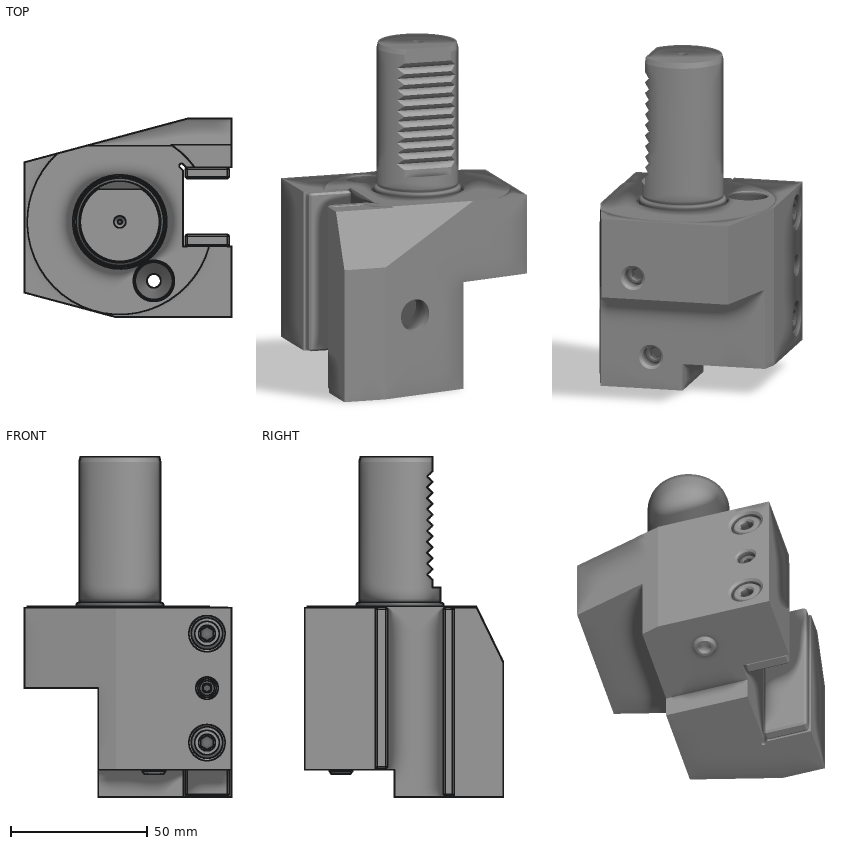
import cadquery as cq
import math

LEFT_X = -35.0
RIGHT_X = 41.0
FRONT_Y = -35.0
BACK_Y = 38.0
BACK_CORNER_X = 25.0
FRONT_CORNER_X = -1.4
TAPER_ANGLE = math.radians(15)
BOTTOM_Z = -70.0
FRONT_BOTTOM_Z = -60.0
FRONT_STEP_Y = -2.0
LEFT_STEP_X = -8.0
LEFT_STEP_Z = -30.0
BACK_BEVEL_Y = 28.0
BACK_BEVEL_Z = -20.5

SEAT_RADIUS = 34.0
SEAT_HEIGHT = 0.5

SLOT_X = 23.2
SLOT_FRONT_Y = -9.0
SLOT_BACK_Y = 20.0
RELIEF_WIDTH = 1.6
RELIEF_REACH = 1.6
RELIEF_ANGLE = 135.0

PLATE_X = 24.0
PLATE_LENGTH = 16.2
PLATE_END_GAP = 0.4
PLATE_CHAMFER = 0.7
BACK_PLATE_THICKNESS = 4.1
FRONT_PLATE_THICKNESS = 4.5

SHANK_RADIUS = 15.0
SHANK_HEIGHT = 55.0
TIP_CHAMFER_HEIGHT = 2.0
TIP_CHAMFER_WIDTH = 0.5
NECK_TOP_Z = 2.5
NECK_INSET = 0.3
FLAT_Y = 12.0
FLAT_BOTTOM_Z = 7.0
TOOTH_COUNT = 10
TOOTH_PITCH = 4.0
TOOTH_DEPTH = 2.0
FIRST_TOOTH_Z = 11.7
CENTRE_DIAMETER = 4.4
CENTRE_PILOT_DIAMETER = 1.6
CENTRE_PILOT_DEPTH = 3.0
CENTRE_ANGLE = 60.0

RING_RADIUS = 16.1
RING_HEIGHT = 1.5
RING_FILLET = 1.25
GROOVE_RADIUS = 16.7
GROOVE_DEPTH = 1.5
GROOVE_CHAMFER = 0.6

COOLANT_PITCH_RADIUS = 25.0
COOLANT_ANGLE = math.radians(-60)
COOLANT_X = COOLANT_PITCH_RADIUS * math.cos(COOLANT_ANGLE)
COOLANT_Y = COOLANT_PITCH_RADIUS * math.sin(COOLANT_ANGLE)
COOLANT_BORE = 5.0
INLET_DIAMETER = 14.2
INLET_DEPTH = 8.0
LOWER_INLET_DIAMETER = 13.7
LOWER_INLET_DEPTH = 12.0
INLET_CHAMFER = 0.45
INLET_TIP_ANGLE = 118.0
NOZZLE_RADIUS = 4.3
NOZZLE_TIP_RADIUS = 3.5
NOZZLE_RIM = 0.5
NOZZLE_HEIGHT = 1.6
PORT_DIAMETER = 12.0
PORT_Z = -40.0
PORT_DEPTH = 20.0

FRONT_SCREW_X = 32.0
CLAMP_SCREW_HEIGHTS = (-10.0, -50.0)
CLAMP_MOUTH_DIAMETER = 13.3
CLAMP_BORE_DIAMETER = 11.6
CLAMP_DEPTH = 2.2
CLAMP_HEAD_DIAMETER = 9.0
CLAMP_SOCKET_FLATS = 4.6
CLAMP_SOCKET_DEPTH = 4.0
MIDDLE_SCREW_Z = -30.0
MIDDLE_MOUTH_DIAMETER = 8.2
MIDDLE_BORE_DIAMETER = 6.8
MIDDLE_DEPTH = 2.8
MIDDLE_HEAD_DIAMETER = 5.4
MIDDLE_SOCKET_FLATS = 2.7
MIDDLE_SOCKET_DEPTH = 3.0

SIDE_SCREW_Y = 10.0
SIDE_SCREW_PLACES = ((LEFT_X, -22.0), (LEFT_STEP_X, -58.0))
SIDE_MOUTH_DIAMETER = 9.2
SIDE_BORE_DIAMETER = 7.2
SIDE_DEPTH = 6.0
SIDE_HEAD_DIAMETER = 6.6
SIDE_SOCKET_FLATS = 3.6
SIDE_SOCKET_DEPTH = 3.0

SOCKET_MOUTH_RATIO = 1.15

RIGHT = cq.Vector(1, 0, 0)
BACK = cq.Vector(0, 1, 0)
UP = cq.Vector(0, 0, 1)
DOWN = cq.Vector(0, 0, -1)


def box(x_min, x_max, y_min, y_max, z_min, z_max):
    """Box between the given limits."""
    size = (x_max - x_min, y_max - y_min, z_max - z_min)
    return cq.Workplane("XY").box(*size, centered=False).translate((x_min, y_min, z_min))


def rod(start, direction, diameter, length):
    """Cylinder that grows from a point along a direction."""
    return cq.Workplane(cq.Solid.makeCylinder(diameter / 2, length, start, direction))


def cone(start, direction, start_diameter, end_diameter, length):
    """Cone frustum that grows from a point along a direction."""
    return cq.Workplane(cq.Solid.makeCone(start_diameter / 2, end_diameter / 2, length, start, direction))


def hex_socket(start, direction, flats, depth):
    """Hexagonal prism with two flats upright and a 45 degree countersink at its mouth."""
    plane = cq.Plane(origin=start, xDir=UP, normal=direction)
    corner_diameter = flats / math.cos(math.radians(30))
    mouth_diameter = SOCKET_MOUTH_RATIO * corner_diameter
    countersink = cone(start, direction, mouth_diameter, flats, (mouth_diameter - flats) / 2)
    return cq.Workplane(plane).polygon(6, corner_diameter).extrude(depth).union(countersink)


def make_block():
    """Tapered block with its steps, back bevel and seating disc."""
    back_taper = (BACK_CORNER_X - LEFT_X) * math.tan(TAPER_ANGLE)
    front_taper = (FRONT_CORNER_X - LEFT_X) * math.tan(TAPER_ANGLE)
    outline = [
        (LEFT_X, FRONT_Y + front_taper),
        (FRONT_CORNER_X, FRONT_Y),
        (RIGHT_X, FRONT_Y),
        (RIGHT_X, BACK_Y),
        (BACK_CORNER_X, BACK_Y),
        (LEFT_X, BACK_Y - back_taper),
    ]
    block = cq.Workplane("XY").polyline(outline).close().extrude(BOTTOM_Z)
    block = block.cut(box(LEFT_X, LEFT_STEP_X, FRONT_Y, BACK_Y, BOTTOM_Z, LEFT_STEP_Z))
    block = block.cut(box(LEFT_X, RIGHT_X, FRONT_Y, FRONT_STEP_Y, BOTTOM_Z, FRONT_BOTTOM_Z))
    bevel_outline = [(BACK_BEVEL_Y, 0), (BACK_Y, BACK_BEVEL_Z), (BACK_Y, 0)]
    bevel = cq.Workplane("YZ").polyline(bevel_outline).close().extrude(RIGHT_X - LEFT_X)
    block = block.cut(bevel.translate((LEFT_X, 0, 0)))
    around_seat = box(LEFT_X, RIGHT_X, FRONT_Y, BACK_Y, -SEAT_HEIGHT, 0)
    around_seat = around_seat.cut(rod(cq.Vector(0, 0, 0), DOWN, 2 * SEAT_RADIUS, SEAT_HEIGHT))
    return block.cut(around_seat)


def cut_slot(body):
    """Tool slot through the full height, with a diagonal round-ended relief in its back corner."""
    body = body.cut(box(SLOT_X, RIGHT_X, SLOT_FRONT_Y, SLOT_BACK_Y, BOTTOM_Z, 0))
    corner = cq.Workplane("XY", origin=(SLOT_X, SLOT_BACK_Y, 0))
    return body.cut(corner.slot2D(2 * RELIEF_REACH, RELIEF_WIDTH, RELIEF_ANGLE).extrude(BOTTOM_Z))


def make_plate(y_min, y_max, bottom_z):
    """Clamping plate with all its edges bevelled."""
    plate = box(PLATE_X, PLATE_X + PLATE_LENGTH, y_min, y_max, bottom_z + PLATE_END_GAP, -PLATE_END_GAP)
    return plate.edges().chamfer(PLATE_CHAMFER)


def add_plates(body):
    """One plate on each slot wall, set back slightly from both ends of the wall."""
    back_plate = make_plate(SLOT_BACK_Y - BACK_PLATE_THICKNESS, SLOT_BACK_Y, BOTTOM_Z)
    front_plate = make_plate(SLOT_FRONT_Y, SLOT_FRONT_Y + FRONT_PLATE_THICKNESS, FRONT_BOTTOM_Z)
    return body.union(back_plate).union(front_plate)


def make_shank():
    """Round shank rooted below the ring groove, with a tapered neck, flat, teeth and centre hole."""
    straight_top = SHANK_HEIGHT - TIP_CHAMFER_HEIGHT
    neck_diameter = 2 * (SHANK_RADIUS - NECK_INSET)
    shank = rod(cq.Vector(0, 0, -GROOVE_DEPTH), UP, neck_diameter, RING_HEIGHT + GROOVE_DEPTH)
    neck_height = NECK_TOP_Z - RING_HEIGHT
    shank = shank.union(cone(cq.Vector(0, 0, RING_HEIGHT), UP, neck_diameter, 2 * SHANK_RADIUS, neck_height))
    straight = rod(cq.Vector(0, 0, NECK_TOP_Z), UP, 2 * SHANK_RADIUS, straight_top - NECK_TOP_Z)
    shank = shank.union(straight)
    tip_diameter = 2 * (SHANK_RADIUS - TIP_CHAMFER_WIDTH)
    tip = cone(cq.Vector(0, 0, straight_top), UP, 2 * SHANK_RADIUS, tip_diameter, TIP_CHAMFER_HEIGHT)
    shank = shank.union(tip)
    shank = shank.cut(box(-SHANK_RADIUS, SHANK_RADIUS, FLAT_Y, SHANK_RADIUS, FLAT_BOTTOM_Z, SHANK_HEIGHT))
    half_pitch = TOOTH_PITCH / 2
    notch_outline = [(FLAT_Y, -half_pitch), (FLAT_Y - TOOTH_DEPTH, 0), (FLAT_Y, half_pitch)]
    notch = cq.Workplane("YZ").polyline(notch_outline).close().extrude(SHANK_RADIUS, both=True)
    for index in range(TOOTH_COUNT):
        shank = shank.cut(notch.translate((0, 0, FIRST_TOOTH_Z + index * TOOTH_PITCH)))
    top = cq.Vector(0, 0, SHANK_HEIGHT)
    cone_depth = (CENTRE_DIAMETER - CENTRE_PILOT_DIAMETER) / 2 / math.tan(math.radians(CENTRE_ANGLE / 2))
    centre = cone(top, DOWN, CENTRE_DIAMETER, CENTRE_PILOT_DIAMETER, cone_depth)
    pilot = rod(top, DOWN, CENTRE_PILOT_DIAMETER, cone_depth + CENTRE_PILOT_DEPTH)
    return shank.cut(centre).cut(pilot)


def add_shank_and_ring(body):
    """Groove in the seat, rounded sealing ring inside it, and the shank."""
    seat_centre = cq.Vector(0, 0, 0)
    groove_mouth = 2 * (GROOVE_RADIUS + GROOVE_CHAMFER)
    body = body.cut(rod(seat_centre, DOWN, 2 * GROOVE_RADIUS, GROOVE_DEPTH))
    body = body.cut(cone(seat_centre, DOWN, groove_mouth, 2 * GROOVE_RADIUS, GROOVE_CHAMFER))
    ring = rod(cq.Vector(0, 0, -GROOVE_DEPTH), UP, 2 * RING_RADIUS, GROOVE_DEPTH + RING_HEIGHT)
    ring = ring.faces(">Z").edges().fillet(RING_FILLET)
    return body.union(ring).union(make_shank())


def add_coolant_passage(body):
    """Stepped inlet and vertical bore ending in a nozzle, plus the port in the back taper."""
    inlet_top = cq.Vector(COOLANT_X, COOLANT_Y, 0)
    inlet_bottom = cq.Vector(COOLANT_X, COOLANT_Y, -LOWER_INLET_DEPTH)
    nozzle_top = cq.Vector(COOLANT_X, COOLANT_Y, FRONT_BOTTOM_Z)
    nozzle_rim = cq.Vector(COOLANT_X, COOLANT_Y, FRONT_BOTTOM_Z - NOZZLE_RIM)
    taper_height = NOZZLE_HEIGHT - NOZZLE_RIM
    body = body.union(rod(nozzle_top, DOWN, 2 * NOZZLE_RADIUS, NOZZLE_RIM))
    body = body.union(cone(nozzle_rim, DOWN, 2 * NOZZLE_RADIUS, 2 * NOZZLE_TIP_RADIUS, taper_height))
    inlet_mouth = INLET_DIAMETER + 2 * INLET_CHAMFER
    tip_depth = (LOWER_INLET_DIAMETER - COOLANT_BORE) / 2 / math.tan(math.radians(INLET_TIP_ANGLE / 2))
    body = body.cut(cone(inlet_top, DOWN, inlet_mouth, INLET_DIAMETER, INLET_CHAMFER))
    body = body.cut(rod(inlet_top, DOWN, INLET_DIAMETER, INLET_DEPTH))
    body = body.cut(rod(inlet_top, DOWN, LOWER_INLET_DIAMETER, LOWER_INLET_DEPTH))
    body = body.cut(cone(inlet_bottom, DOWN, LOWER_INLET_DIAMETER, COOLANT_BORE, tip_depth))
    body = body.cut(rod(inlet_top, DOWN, COOLANT_BORE, NOZZLE_HEIGHT - FRONT_BOTTOM_Z))
    port_start = cq.Vector(COOLANT_X, BACK_Y, PORT_Z)
    return body.cut(rod(port_start, -BACK, PORT_DIAMETER, PORT_DEPTH))


def add_screw(body, mouth, inward, mouth_diameter, bore_diameter, depth, head_diameter, flats, socket_depth):
    """Countersunk hole down to a screw whose bevelled head carries a hex socket."""
    sink_depth = (mouth_diameter - bore_diameter) / 2
    body = body.cut(cone(mouth, inward, mouth_diameter, bore_diameter, sink_depth))
    body = body.cut(rod(mouth, inward, bore_diameter, depth))
    floor = mouth + inward * depth
    head_height = (bore_diameter - head_diameter) / 2
    body = body.union(cone(floor, -inward, bore_diameter, head_diameter, head_height))
    head_face = floor - inward * head_height
    return body.cut(hex_socket(head_face, inward, flats, socket_depth))


def add_screws(body):
    """Two clamp screws and one middle screw in front, and two set screws at the left."""
    for z in CLAMP_SCREW_HEIGHTS:
        mouth = cq.Vector(FRONT_SCREW_X, FRONT_Y, z)
        body = add_screw(body, mouth, BACK, CLAMP_MOUTH_DIAMETER, CLAMP_BORE_DIAMETER, CLAMP_DEPTH,
                         CLAMP_HEAD_DIAMETER, CLAMP_SOCKET_FLATS, CLAMP_SOCKET_DEPTH)
    mouth = cq.Vector(FRONT_SCREW_X, FRONT_Y, MIDDLE_SCREW_Z)
    body = add_screw(body, mouth, BACK, MIDDLE_MOUTH_DIAMETER, MIDDLE_BORE_DIAMETER, MIDDLE_DEPTH,
                     MIDDLE_HEAD_DIAMETER, MIDDLE_SOCKET_FLATS, MIDDLE_SOCKET_DEPTH)
    for x, z in SIDE_SCREW_PLACES:
        mouth = cq.Vector(x, SIDE_SCREW_Y, z)
        body = add_screw(body, mouth, RIGHT, SIDE_MOUTH_DIAMETER, SIDE_BORE_DIAMETER, SIDE_DEPTH,
                         SIDE_HEAD_DIAMETER, SIDE_SOCKET_FLATS, SIDE_SOCKET_DEPTH)
    return body


holder = cut_slot(make_block())
holder = add_plates(holder)
holder = add_shank_and_ring(holder)
holder = add_coolant_passage(holder)
result = add_screws(holder)